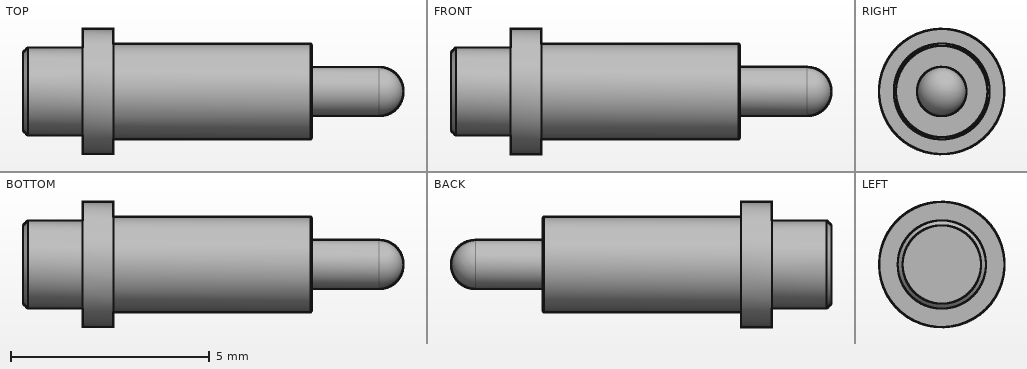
import cadquery as cq

total_length = 9.6
tail_length = 1.51
tail_radius = 1.11
tail_chamfer = 0.12
flange_width = 0.78
flange_radius = 1.58
barrel_end_x = 7.3
barrel_radius = 1.21
mouth_bevel_length = 0.04
mouth_bevel_depth = 0.06
plunger_radius = 0.62

flange_end_x = tail_length + flange_width
tip_start_x = total_length - plunger_radius
tip_arc_offset = plunger_radius * 0.5 ** 0.5

half_section = (
    cq.Workplane("XY")
    .moveTo(0, 0)
    .lineTo(0, tail_radius - tail_chamfer)
    .lineTo(tail_chamfer, tail_radius)
    .lineTo(tail_length, tail_radius)
    .lineTo(tail_length, flange_radius)
    .lineTo(flange_end_x, flange_radius)
    .lineTo(flange_end_x, barrel_radius)
    .lineTo(barrel_end_x - mouth_bevel_length, barrel_radius)
    .lineTo(barrel_end_x, barrel_radius - mouth_bevel_depth)
    .lineTo(barrel_end_x, plunger_radius)
    .lineTo(tip_start_x, plunger_radius)
    .threePointArc((tip_start_x + tip_arc_offset, tip_arc_offset), (total_length, 0))
    .close()
)

result = half_section.revolve(360, (0, 0, 0), (1, 0, 0))